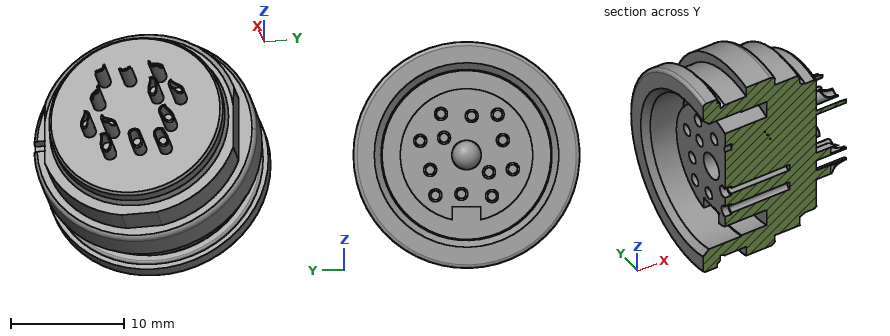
import cadquery as cq
flange_end = 1.5
flange_step_end = 1.8
thread_start = 2.25
nut_start = 4.48
nut_end = 7.5
body_end = 10.1
spigot_end = 11.82
pin_end = 14.9

flange_radius = 20.0 / 2
flange_step_radius = 9.55
undercut_radius = 8.8
body_radius = 9.0
spigot_radius = 15.6 / 2
spigot_tip_radius = 15.18 / 2

flange_round = 0.32
step_round = 0.25
nut_round_length = 0.52
nut_round_drop = 0.35
spigot_flare_length = 0.5
spigot_flare_rise = 0.25
spigot_chamfer_length = 0.25
body_chamfer_length = 0.25
body_chamfer_drop = 0.48

side_flat_distance = 8.45
bottom_flat_distance = 8.85
slot_start = 6.52
slot_width = 1.0

mouth_radius = 8.15
mouth_depth = 0.62
bore_radius = 15.1 / 2
bore_step = 4.0
inner_bore_radius = 14.9 / 2
socket_floor = 6.6

insert_face = 2.28
insert_radius = 11.7 / 2
key_width = 2.5
key_top = -4.55
center_hole_radius = 2.6 / 2
center_hole_floor = 8.0

contact_hole_radius = 1.15 / 2
contact_face = 2.95
contact_bore_radius = 0.8 / 2
contact_bore_floor = 9.0
pin_radius = 1.1 / 2
pin_overlap = 0.2
cup_start = 13.3
cup_drop = 0.2

pattern_angle = 37.6
half_pattern = [
    (2.5, 0, 180),
    (4.0, 1.5, 20.6),
    (4.0, -1.5, -20.6),
    (1.75, 3.0, 60),
    (0, 4.5, 90),
    (-1.75, 3.0, 120),
]


def disc(x_start, x_end, radius):
    """Solid disc about the X axis."""
    return cq.Workplane("YZ", origin=(x_start, 0, 0)).circle(radius).extrude(x_end - x_start)


def revolve_about_x(profile):
    """Close a profile of X and radius and turn it about the X axis."""
    return profile.close().revolve(360, (0, 0, 0), (1, 0, 0))


def turn_about_x(shape, angle):
    return shape.rotate((0, 0, 0), (1, 0, 0), angle)


def make_flange():
    flange = disc(0, flange_end, flange_radius).faces("<X").edges().fillet(flange_round)
    step = disc(0, flange_step_end, flange_step_radius).faces(">X").edges().fillet(step_round)
    return flange.union(step)


def make_body():
    body = revolve_about_x(
        cq.Workplane("XY")
        .moveTo(0, 0)
        .lineTo(0, undercut_radius)
        .lineTo(flange_step_end, undercut_radius)
        .lineTo(thread_start, body_radius)
        .lineTo(body_end, body_radius)
        .lineTo(body_end, 0)
    )
    chamfer = revolve_about_x(
        cq.Workplane("XY")
        .moveTo(body_end - body_chamfer_length, body_radius)
        .lineTo(body_end, body_radius)
        .lineTo(body_end, body_radius - body_chamfer_drop)
    )
    upper_half = cq.Workplane("XY").box(
        body_end, 2 * body_radius, body_radius, centered=(False, True, False)
    )
    body = body.cut(chamfer.intersect(upper_half))
    flats_block = cq.Workplane("XY", origin=(0, 0, -bottom_flat_distance)).box(
        body_end,
        2 * side_flat_distance,
        body_radius + bottom_flat_distance,
        centered=(False, True, False),
    )
    return body.intersect(flats_block)


def make_spigot():
    return revolve_about_x(
        cq.Workplane("XY")
        .moveTo(0, 0)
        .lineTo(0, spigot_radius)
        .lineTo(body_end, spigot_radius)
        .lineTo(body_end, spigot_radius + spigot_flare_rise)
        .lineTo(body_end + spigot_flare_length, spigot_radius)
        .lineTo(spigot_end - spigot_chamfer_length, spigot_radius)
        .lineTo(spigot_end, spigot_tip_radius)
        .lineTo(spigot_end, 0)
    )


def make_nut():
    nut = revolve_about_x(
        cq.Workplane("XY")
        .moveTo(nut_start, 0)
        .lineTo(nut_start, flange_radius)
        .lineTo(nut_end - nut_round_length, flange_radius)
        .tangentArcPoint((nut_end, flange_radius - nut_round_drop), relative=False)
        .lineTo(nut_end, 0)
    )
    slot_origin = (slot_start, -side_flat_distance - flange_radius, 0)
    slot = cq.Workplane("XY", origin=slot_origin).box(
        nut_end - slot_start, flange_radius, slot_width, centered=(False, False, True)
    )
    return nut.cut(slot)


def make_socket():
    return revolve_about_x(
        cq.Workplane("XY")
        .moveTo(0, 0)
        .lineTo(0, mouth_radius)
        .lineTo(mouth_depth, bore_radius)
        .lineTo(bore_step, bore_radius)
        .lineTo(bore_step, inner_bore_radius)
        .lineTo(socket_floor, inner_bore_radius)
        .lineTo(socket_floor, 0)
    )


def make_insert():
    insert = disc(insert_face, socket_floor, insert_radius)
    keyway = cq.Workplane("XY", origin=(insert_face, 0, key_top - insert_radius)).box(
        socket_floor - insert_face, key_width, insert_radius, centered=(False, True, False)
    )
    return insert.cut(keyway)


def make_center_hole():
    """Blind hole with a domed floor that bulges toward the front."""
    dome = cq.Workplane("XY", origin=(center_hole_floor, 0, 0)).sphere(center_hole_radius)
    return disc(insert_face, center_hole_floor, center_hole_radius).cut(dome)


def make_contact_hole():
    hole = disc(insert_face, contact_face, contact_hole_radius)
    return hole.union(disc(contact_face, contact_bore_floor, contact_bore_radius))


def make_pin():
    """Solder pin on the X axis whose cup opens toward +Y."""
    pin = disc(spigot_end - pin_overlap, pin_end, pin_radius)
    bore = disc(cup_start, pin_end, contact_bore_radius)
    cut_length = pin_end - cup_start
    cut_depth = pin_radius + cup_drop
    cut_radius = (cut_length**2 + cut_depth**2) / (2 * cut_depth)
    opening = (
        cq.Workplane("XY", origin=(pin_end, cut_radius - cup_drop, 0))
        .circle(cut_radius)
        .extrude(pin_radius, both=True)
    )
    return pin.cut(bore).cut(opening)


shell = make_flange().union(make_body()).union(make_spigot()).union(make_nut())
result = shell.cut(make_socket()).union(make_insert()).cut(make_center_hole())

contact_hole = make_contact_hole()
solder_pin = make_pin()
for half_turn in (0, 180):
    pattern_turn = pattern_angle + half_turn
    for y, z, cup_direction in half_pattern:
        hole = contact_hole.translate((0, y, z))
        pin = turn_about_x(solder_pin, cup_direction).translate((0, y, z))
        result = result.cut(turn_about_x(hole, pattern_turn))
        result = result.union(turn_about_x(pin, pattern_turn))